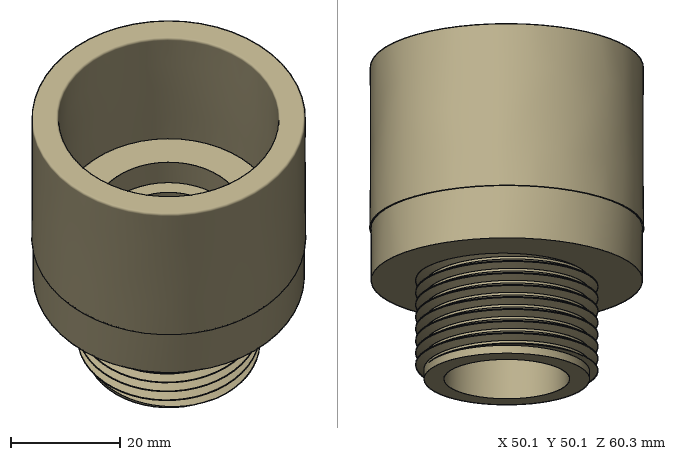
import cadquery as cq
import math

total_height = 60.3
shoulder_height = 19.0
collar_top = 29.05
socket_depth = 25.9
socket_floor = total_height - socket_depth

body_base_diameter = 50.1
body_rim_diameter = 50.0
collar_diameter = 49.6
rim_round = 0.5

socket_mouth_diameter = 40.3
socket_floor_diameter = 40.05
recess_diameter = 28.0
recess_floor = collar_top
bore_diameter = 23.0

thread_root_diameter = 30.3
thread_crest_diameter = 33.35
crest_intervals = 7
crest_span = 16.15
thread_pitch = crest_span / crest_intervals
thread_start = 1.5
tooth_base_width = 1.8
tooth_crest_width = 0.2
root_overlap = 0.25


def cylinder(diameter, bottom, top):
    return cq.Workplane("XY").workplane(offset=bottom).circle(diameter / 2).extrude(top - bottom)


def cone(bottom_diameter, top_diameter, bottom, top):
    return (
        cq.Workplane("XY")
        .workplane(offset=bottom)
        .circle(bottom_diameter / 2)
        .workplane(offset=top - bottom)
        .circle(top_diameter / 2)
        .loft(ruled=True)
    )


def outer_body():
    body = cone(body_base_diameter, body_rim_diameter, collar_top, total_height)
    body = body.faces(">Z").edges().fillet(rim_round)
    collar = cylinder(collar_diameter, shoulder_height, collar_top)
    spigot = cylinder(thread_root_diameter, 0, shoulder_height)
    return spigot.union(collar).union(body)


def socket():
    cavity = cone(socket_floor_diameter, socket_mouth_diameter, socket_floor, total_height)
    recess = cylinder(recess_diameter, recess_floor, socket_floor)
    return cavity.union(recess)


def thread():
    """Solid threaded rod, trimmed flat at the thread start and at the shoulder."""
    root_radius = thread_root_diameter / 2
    crest_radius = thread_crest_diameter / 2
    flank_slope = (tooth_base_width - tooth_crest_width) / 2 / (crest_radius - root_radius)
    buried_half_width = tooth_base_width / 2 + flank_slope * root_overlap

    helix_bottom = thread_start - thread_pitch
    turns = math.ceil((shoulder_height - helix_bottom) / thread_pitch) + 1
    helix = cq.Wire.makeHelix(thread_pitch, turns * thread_pitch, root_radius)
    tooth = (
        cq.Workplane("XZ")
        .polyline([
            (root_radius - root_overlap, -buried_half_width),
            (crest_radius, -tooth_crest_width / 2),
            (crest_radius, tooth_crest_width / 2),
            (root_radius - root_overlap, buried_half_width),
        ])
        .close()
        .sweep(cq.Workplane(helix), isFrenet=True)
        .translate((0, 0, helix_bottom))
    )
    helix_top = helix_bottom + turns * thread_pitch
    core = cylinder(thread_root_diameter, helix_bottom - thread_pitch, helix_top + thread_pitch)
    threaded_rod = core.union(tooth)
    return threaded_rod.intersect(cylinder(body_base_diameter, thread_start, shoulder_height))


def bore():
    return cylinder(bore_diameter, 0, total_height)


def round_socket_mouth(body):
    mouth_edge = body.faces(">Z").edges(cq.selectors.RadiusNthSelector(0))
    return mouth_edge.fillet(rim_round)


socketed_body = round_socket_mouth(outer_body().cut(socket()))
result = socketed_body.union(thread()).cut(bore()).solids()